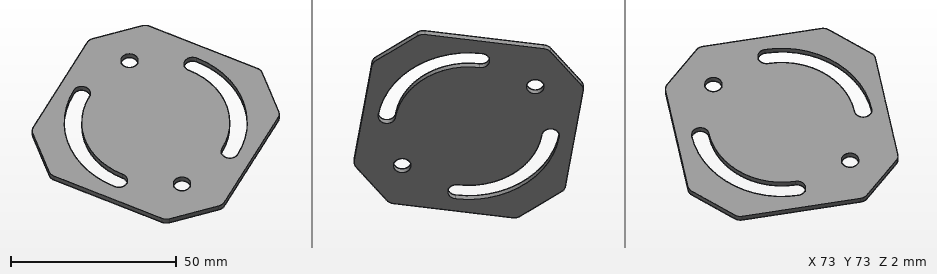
import cadquery as cq
import math

width = 73.0
thickness = 2.0
flat_length = 18.1
corner_radius = 3.0

pitch_radius = 25.0
opening_width = 5.25
slot_half_angle = 45.0


def polar_point(radius, angle):
    """Point at an angle in degrees, counterclockwise from +X."""
    return (radius * math.cos(math.radians(angle)), radius * math.sin(math.radians(angle)))


def make_plate():
    """Square plate with four 45 degree cut corners and rounded edges."""
    half_width = width / 2
    half_flat = flat_length / 2
    outline = [
        (half_width, -half_flat),
        (half_width, half_flat),
        (half_flat, half_width),
        (-half_flat, half_width),
        (-half_width, half_flat),
        (-half_width, -half_flat),
        (-half_flat, -half_width),
        (half_flat, -half_width),
    ]
    plate = cq.Workplane("XY").polyline(outline).close().extrude(thickness)
    return plate.edges("|Z").fillet(corner_radius)


def make_curved_slot(middle_angle):
    """Cutter for a round-ended slot centred on the pitch circle."""
    inner_radius = pitch_radius - opening_width / 2
    outer_radius = pitch_radius + opening_width / 2
    start = middle_angle - slot_half_angle
    end = middle_angle + slot_half_angle
    end_bulge = opening_width / 2
    start_center = polar_point(pitch_radius, start)
    end_center = polar_point(pitch_radius, end)
    start_offset = polar_point(end_bulge, start - 90)
    end_offset = polar_point(end_bulge, end + 90)
    start_tip = (start_center[0] + start_offset[0], start_center[1] + start_offset[1])
    end_tip = (end_center[0] + end_offset[0], end_center[1] + end_offset[1])
    return (
        cq.Workplane("XY")
        .moveTo(*polar_point(outer_radius, start))
        .threePointArc(polar_point(outer_radius, middle_angle), polar_point(outer_radius, end))
        .threePointArc(end_tip, polar_point(inner_radius, end))
        .threePointArc(polar_point(inner_radius, middle_angle), polar_point(inner_radius, start))
        .threePointArc(start_tip, polar_point(outer_radius, start))
        .close()
        .extrude(thickness)
    )


def make_round_holes():
    """Cutters for the two through holes on the X axis."""
    centers = [(-pitch_radius, 0), (pitch_radius, 0)]
    return cq.Workplane("XY").pushPoints(centers).circle(opening_width / 2).extrude(thickness)


result = make_plate().cut(make_round_holes())
for slot_angle in (90, 270):
    result = result.cut(make_curved_slot(slot_angle))